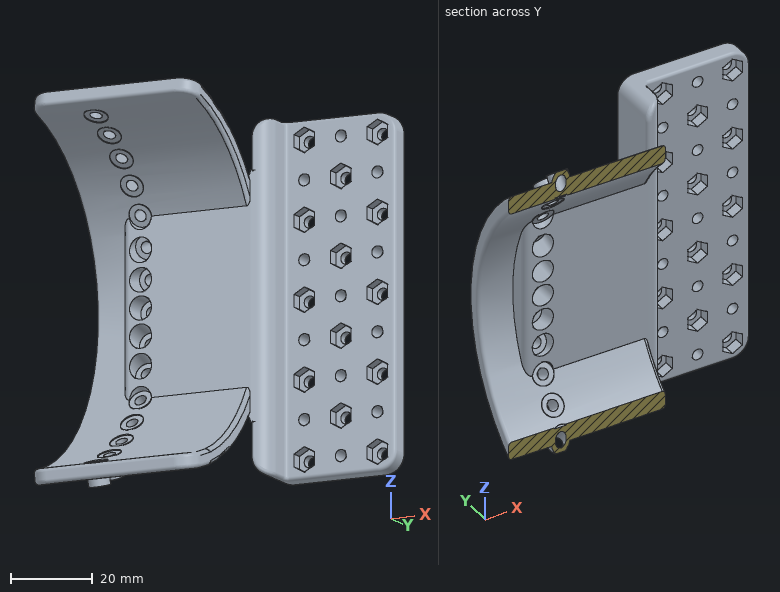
import cadquery as cq
import math

shell_width = 45.0
shell_inner_radius = 46.0
shell_thickness = 4.0
shell_outer_radius = shell_inner_radius + shell_thickness
shell_middle_radius = (shell_inner_radius + shell_outer_radius) / 2
shell_half_angle = 80.0
shell_corner_radius = 5.0

plate_setback = 5.0
plate_back_y = shell_outer_radius + plate_setback
plate_width = 35.0
plate_height = 90.0
plate_thickness = 5.5
plate_corner_radius = 5.0
plate_front_y = plate_back_y - plate_thickness
plate_left_x = shell_width
plate_right_x = plate_left_x + plate_width

arm_depth = 15.0
arm_front_y = plate_back_y - arm_depth
arm_thickness = 5.0
arm_right_x = plate_left_x + arm_thickness
arm_front_radius = 5.0
pad_left_x = 10.0
pad_edge_radius = 2.0

edge_radius = 1.0

grid_pitch = 10.0
grid_columns = 3
grid_rows = 9
grid_first_x = plate_left_x + grid_pitch
hole_diameter = 3.0
nut_sides = 6
nut_corner_diameter = 6.4
nut_depth = 3.0

boss_x = 15.0
boss_pitch_angle = 10.0
bosses_per_side = 7
boss_diameter = 5.5
boss_height = 2.0
boss_tip_radius = shell_outer_radius + boss_height
bore_diameter = 6.0
bore_sink = 0.2
bore_floor_radius = shell_inner_radius + bore_sink

cut_margin = 1.0
bore_start_radius = arm_front_y - cut_margin


def x_cylinder(radius, start_x, end_x):
    """Cylinder about the X axis between two X positions."""
    return cq.Workplane("YZ", origin=(start_x, 0, 0)).circle(radius).extrude(end_x - start_x)


def radial_cylinder(angle, diameter, start_radius, end_radius):
    """Cylinder pointing outwards from the shell axis, tilted from +Y towards +Z."""
    tilt = math.radians(angle)
    direction = cq.Vector(0, math.cos(tilt), math.sin(tilt))
    start = direction * start_radius + cq.Vector(boss_x, 0, 0)
    length = end_radius - start_radius
    return cq.Workplane(cq.Solid.makeCylinder(diameter / 2, length, start, direction))


def arc_point(radius, angle):
    """Y and Z of a point on a circle about the shell axis."""
    tilt = math.radians(angle)
    return (radius * math.cos(tilt), radius * math.sin(tilt))


def make_shell():
    """Curved wall with rounded tip corners and a softened rim."""
    shell = (
        cq.Workplane("YZ")
        .moveTo(*arc_point(shell_outer_radius, -shell_half_angle))
        .threePointArc((shell_outer_radius, 0), arc_point(shell_outer_radius, shell_half_angle))
        .lineTo(*arc_point(shell_inner_radius, shell_half_angle))
        .threePointArc((shell_inner_radius, 0), arc_point(shell_inner_radius, -shell_half_angle))
        .close()
        .extrude(shell_width)
    )
    shell = shell.edges("(not |X) and %LINE").fillet(shell_corner_radius)
    middle = cq.selectors.BoxSelector(
        (0, shell_inner_radius - shell_outer_radius, -cut_margin),
        (shell_width, shell_outer_radius, cut_margin),
    )
    return shell.faces("%CYLINDER").faces(middle).edges().fillet(edge_radius)


def make_arm_plate_profile():
    """L-shaped section of the plate and arm, seen along Z, over the full height."""
    diagonal = math.sqrt(0.5)
    round_centre_x = arm_right_x - arm_front_radius
    round_centre_y = arm_front_y + arm_front_radius
    front_round_middle = (
        round_centre_x + arm_front_radius * diagonal,
        round_centre_y - arm_front_radius * diagonal,
    )
    inner_centre_x = arm_right_x + edge_radius
    inner_centre_y = plate_front_y - edge_radius
    inner_round_middle = (
        inner_centre_x - edge_radius * diagonal,
        inner_centre_y + edge_radius * diagonal,
    )
    return (
        cq.Workplane("XY", origin=(0, 0, -plate_height / 2))
        .moveTo(plate_left_x, plate_back_y)
        .lineTo(plate_right_x, plate_back_y)
        .lineTo(plate_right_x, plate_front_y)
        .lineTo(inner_centre_x, plate_front_y)
        .threePointArc(inner_round_middle, (arm_right_x, inner_centre_y))
        .lineTo(arm_right_x, round_centre_y)
        .threePointArc(front_round_middle, (round_centre_x, arm_front_y))
        .close()
        .extrude(plate_height)
    )


def make_plate():
    """Plate and arm in one piece, with rounded corners and softened rims."""
    outline = (
        cq.Workplane("XZ", origin=(plate_left_x + plate_width / 2, plate_back_y, 0))
        .rect(plate_width, plate_height)
        .extrude(arm_depth)
        .edges("|Y")
        .fillet(plate_corner_radius)
    )
    plate = outline.intersect(make_arm_plate_profile())
    front_rim = plate.faces(">X").edges("|Z and <Y")
    back_rim = plate.faces(">Y").edges()
    return front_rim.add(back_rim).fillet(edge_radius)


def make_pad():
    """Flat-faced filling inside the shell."""
    return (
        cq.Workplane("XY")
        .box(shell_width - pad_left_x, arm_depth, plate_height, centered=(False, False, True))
        .translate((pad_left_x, arm_front_y, 0))
        .edges("|Z and <X and <Y")
        .fillet(pad_edge_radius)
        .intersect(x_cylinder(shell_middle_radius, 0, shell_width))
    )


def make_collar():
    """Join between the shell's end and the arm, with a concave fillet outside the shell."""
    collar_start_x = shell_width - edge_radius
    collar_radius = shell_outer_radius + edge_radius
    diagonal = edge_radius * math.sqrt(0.5)
    ring = (
        cq.Workplane("XY")
        .moveTo(collar_start_x, 0)
        .lineTo(collar_start_x, shell_outer_radius)
        .threePointArc(
            (collar_start_x + diagonal, collar_radius - diagonal),
            (shell_width, collar_radius),
        )
        .lineTo(arm_right_x, collar_radius)
        .lineTo(arm_right_x, 0)
        .close()
        .revolve(360, (0, 0, 0), (1, 0, 0))
    )
    rim_filling = (
        cq.Workplane("XY")
        .box(edge_radius, arm_depth, plate_height, centered=(False, False, True))
        .translate((collar_start_x, arm_front_y, 0))
    )
    return ring.intersect(rim_filling.union(make_arm_plate_profile()))


def add_bosses(body):
    """Bosses around the outside of the shell, each bored from the inside."""
    angles = [i * boss_pitch_angle for i in range(-bosses_per_side, bosses_per_side + 1)]
    for angle in angles:
        body = body.union(radial_cylinder(angle, boss_diameter, shell_middle_radius, boss_tip_radius))
    for angle in angles:
        bore = radial_cylinder(angle, bore_diameter, bore_start_radius, bore_floor_radius)
        hole = radial_cylinder(angle, hole_diameter, bore_start_radius, boss_tip_radius + cut_margin)
        body = body.cut(bore).cut(hole)
    return body


def cut_grid(body):
    """Through holes in the plate; every second one has a hexagonal nut pocket in front."""
    front = cq.Workplane("XZ", origin=(0, plate_front_y, 0))
    holes = []
    pockets = []
    for column in range(grid_columns):
        for row in range(grid_rows):
            place = (grid_first_x + column * grid_pitch, (row - (grid_rows - 1) / 2) * grid_pitch)
            holes.append(place)
            if (column + row) % 2 == 0:
                pockets.append(place)
    hole_tools = front.pushPoints(holes).circle(hole_diameter / 2).extrude(-plate_thickness - cut_margin)
    hexagon = cq.Sketch().push(pockets).regularPolygon(nut_corner_diameter / 2, nut_sides)
    pocket_tools = front.placeSketch(hexagon).extrude(-nut_depth)
    return body.cut(hole_tools).cut(pocket_tools)


frame = make_plate().union(make_collar()).union(make_pad()).union(make_shell())
result = cut_grid(add_bosses(frame))